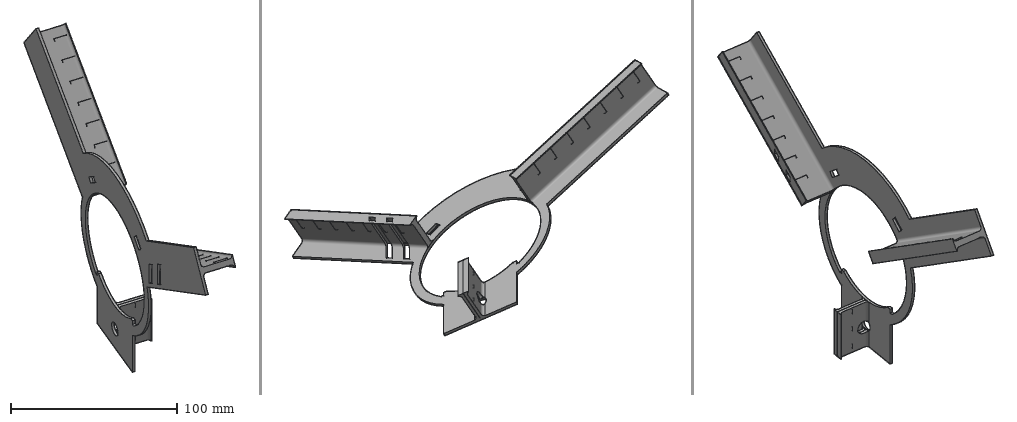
import cadquery as cq
import math

half_span = 128.8
depth = 23.0
plate_thickness = 1.8

ring_inner_radius = 41.7
ring_outer_radius = 48.0
crown_radius = 66.7

arm_angle = 35.0
arm_width = 30.0
arm_cos = math.cos(math.radians(arm_angle))
arm_sin = math.sin(math.radians(arm_angle))
arm_slope = arm_sin / arm_cos
arm_end = (half_span - arm_width / 2 * arm_sin) / arm_cos
arm_length = arm_end - ring_inner_radius

bracket_width = 50.0
bracket_bottom = -70.0
horn_top = -29.0
saddle_radius = 37.4
saddle_bottom = -36.8
shoulder_width = 54.5
shoulder_top = -32.0
bracket_rib_length = saddle_bottom - bracket_bottom
bracket_hole_radius = 4.5
bracket_hole_z = -55.0
rib_hole_y = 4.6

web_thickness = 3.9
flare_radius = 2.0
flange_thickness = 0.5
flange_width = web_thickness + 2 * flare_radius
bracket_flange_width = 7.2

slit_width = 0.13
slit_y = 13.0
slit_leg_top = 21.5
arm_slit_length = 1.8
arm_slit_first = 15.0
arm_slit_pitch = 14.0
arm_slit_count = 7
bracket_slit_length = 2.8
bracket_slit_first = 3.0
bracket_slit_pitch = 13.0
bracket_slit_count = 3

crown_slot_length = 8.5
crown_slot_width = 3.9
crown_slot_distance = 50.0
crown_slot_tilt = 40.0

strap_slot_starts = (48.5, 60.3)
strap_slot_width = 4.0
strap_slot_height = 16.0
strap_slot_rise = 1.0


def disc(radius, z_centre=0):
    """Disc as thick as the plate, standing on the front face."""
    return cq.Workplane("XZ").center(0, z_centre).circle(radius).extrude(-plate_thickness)


def prism(points, thickness):
    """Straight-sided outline in X and Z, extruded back from the front face."""
    return cq.Workplane("XZ").polyline(points).close().extrude(-thickness)


def box(x_start, x_size, y_start, y_size, z_size):
    """Box centred on z = 0."""
    return (
        cq.Workplane("XY")
        .box(x_size, y_size, z_size, centered=(False, False, True))
        .translate((x_start, y_start, 0))
    )


def turn(body, angle):
    """Turn a body about the ring axis, from +X towards +Z."""
    return body.rotate((0, 0, 0), (0, 1, 0), -angle)


def flare(y_base, y_direction, side, length):
    """Concave fillet beside the web, running along +X from x = 0."""
    web_face = side * web_thickness / 2
    tip = side * flange_width / 2
    y_end = y_base + y_direction * flare_radius
    arc_inset = flare_radius * (1 - math.sqrt(0.5))
    arc_middle = (y_base + y_direction * arc_inset, web_face + side * arc_inset)
    return (
        cq.Workplane("YZ")
        .moveTo(y_base, web_face)
        .lineTo(y_base, tip)
        .threePointArc(arc_middle, (y_end, web_face))
        .close()
        .extrude(length)
    )


def make_web(length):
    """Web with its front flares, running along +X from x = 0."""
    web = box(0, length, 0, depth, web_thickness)
    for side in (1, -1):
        web = web.union(flare(plate_thickness, 1, side, length))
    return web


def make_rear_lips(length):
    """Flange edges and rear flares on both sides of the web."""
    flange_y = depth - flange_thickness
    lips = box(0, length, flange_y, flange_thickness, flange_width)
    lips = lips.cut(box(0, length, flange_y, flange_thickness, web_thickness))
    for side in (1, -1):
        lips = lips.union(flare(flange_y, -1, side, length))
    return lips


def strap_slot(x_start):
    """Upright slot whose ends run parallel to the right arm."""
    x_end = x_start + strap_slot_width
    top_start = x_start * arm_slope + strap_slot_rise
    top_end = x_end * arm_slope + strap_slot_rise
    points = [
        (x_start, top_start),
        (x_end, top_end),
        (x_end, top_end - strap_slot_height),
        (x_start, top_start - strap_slot_height),
    ]
    return prism(points, depth)


def make_arm(strap_starts):
    """Right-hand arm; strap slots cut the plate and web but not the rear lips."""
    plate = box(0, arm_length, 0, plate_thickness, arm_width)
    body = plate.union(make_web(arm_length)).translate((ring_inner_radius, 0, 0))
    arm = turn(body, arm_angle)
    for x_start in strap_starts:
        arm = arm.cut(strap_slot(x_start))
    lips = make_rear_lips(arm_length).translate((ring_inner_radius, 0, 0))
    arm = arm.union(turn(lips, arm_angle))

    for index in range(arm_slit_count):
        leg_x = ring_inner_radius + arm_slit_first + index * arm_slit_pitch
        foot_x = leg_x + slit_width - arm_slit_length
        foot = box(foot_x, arm_slit_length, slit_y, slit_width, flange_width)
        leg = box(leg_x, slit_width, slit_y, slit_leg_top - slit_y, flange_width)
        arm = arm.cut(turn(foot.union(leg), arm_angle))
    return arm


def make_ring():
    """Annulus with the crown across its top."""
    reach = 2 * crown_radius
    sector = prism(
        [(0, 0), (reach * arm_cos, reach * arm_sin), (0, reach), (-reach * arm_cos, reach * arm_sin)],
        plate_thickness,
    )
    ring = disc(ring_outer_radius).union(disc(crown_radius).intersect(sector))
    return ring.cut(disc(ring_inner_radius))


def make_crown_slots():
    """Pair of tangential slots, one beside each arm."""
    slot = box(-crown_slot_length / 2, crown_slot_length, 0, plate_thickness, crown_slot_width)
    slot = slot.translate((0, 0, crown_slot_distance))
    return turn(slot, crown_slot_tilt).union(turn(slot, -crown_slot_tilt))


def rectangle_plate(width, z_bottom, z_top):
    half = width / 2
    return prism([(-half, z_bottom), (half, z_bottom), (half, z_top), (-half, z_top)], plate_thickness)


def make_bracket_rib():
    """Upright rib behind the plate, slit along its middle, with short slits and a hole across it."""
    rib = make_web(bracket_rib_length).union(make_rear_lips(bracket_rib_length))
    rib = rib.intersect(box(0, bracket_rib_length, 0, depth, bracket_flange_width))
    rib = rib.cut(box(0, bracket_rib_length, 0, depth, slit_width))
    for index in range(bracket_slit_count):
        centre = bracket_slit_first + index * bracket_slit_pitch
        start = bracket_rib_length - centre - bracket_slit_length / 2
        rib = rib.cut(box(start, bracket_slit_length, slit_y, slit_width, flange_width))
    rib = turn(rib, 90).translate((0, 0, bracket_bottom))
    cross_hole = (
        cq.Workplane("YZ")
        .center(rib_hole_y, bracket_hole_z)
        .circle(bracket_hole_radius)
        .extrude(flange_width, both=True)
    )
    rib = rib.cut(cross_hole)
    return rib.cut(rectangle_plate(bracket_width, bracket_bottom, horn_top))


def make_bracket():
    plate = rectangle_plate(bracket_width, bracket_bottom, horn_top)
    plate = plate.cut(disc(saddle_radius, saddle_bottom + saddle_radius))
    plate = plate.cut(disc(bracket_hole_radius, bracket_hole_z))
    return plate.union(make_bracket_rib())


def make_shoulders():
    """Small level fillings between the ring and the outer side of each horn."""
    outer = rectangle_plate(shoulder_width, -ring_outer_radius, shoulder_top)
    inner = rectangle_plate(bracket_width, -ring_outer_radius, shoulder_top)
    return outer.cut(inner).intersect(disc(ring_outer_radius))


right_arm = make_arm(strap_slot_starts)
left_arm = make_arm(()).mirror("YZ")
arms = right_arm.union(left_arm)
frame = make_ring().union(arms).cut(make_crown_slots())
result = frame.union(make_shoulders()).union(make_bracket())